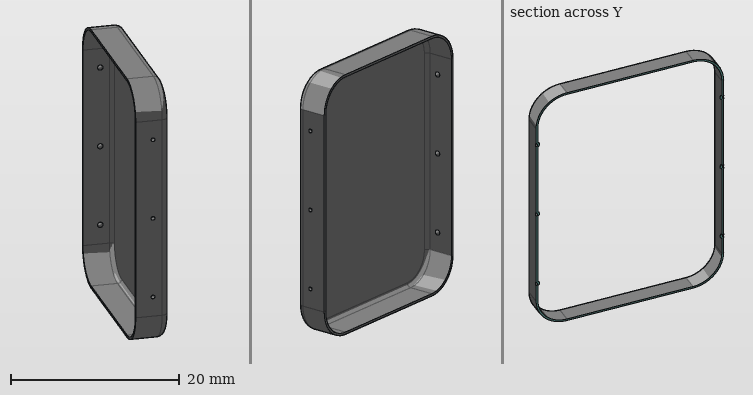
import cadquery as cq

width = 24.4
depth = 4.0
height = 32.9

wall = 0.3
corner_radius = 4.0
back_fillet = 0.8

detent_spacing = 10.0
detent_from_rim = 2.1
dimple_radius = 0.23
dimple_depth = 0.2
bump_radius = 0.33
bump_height = 0.23


def rounded_block(inset, length):
    """Block starting at the rim, inset from the outer outline, rounded at its back end."""
    return (
        cq.Workplane("XZ", origin=(0, -depth / 2, 0))
        .rect(width - 2 * inset, height - 2 * inset)
        .extrude(-length)
        .edges("|Y")
        .fillet(corner_radius - inset)
        .faces(">Y")
        .edges()
        .fillet(back_fillet - inset)
    )


def cap_sphere(base_x, base_radius, cap_height, side, z):
    """Sphere whose cap rises inward by cap_height from a side wall plane at distance base_x."""
    radius = (base_radius**2 + cap_height**2) / (2 * cap_height)
    center_x = side * (base_x - cap_height + radius)
    return cq.Workplane("YZ", origin=(center_x, detent_from_rim - depth / 2, z)).sphere(radius)


tray = rounded_block(0, depth)
cavity = rounded_block(wall, depth - wall)
result = tray.cut(cavity)

for side in (-1, 1):
    for row in (-1, 0, 1):
        z = row * detent_spacing
        bump = cap_sphere(width / 2 - wall, bump_radius, bump_height, side, z)
        dimple = cap_sphere(width / 2, dimple_radius, dimple_depth, side, z)
        result = result.union(bump.intersect(cavity)).cut(dimple)